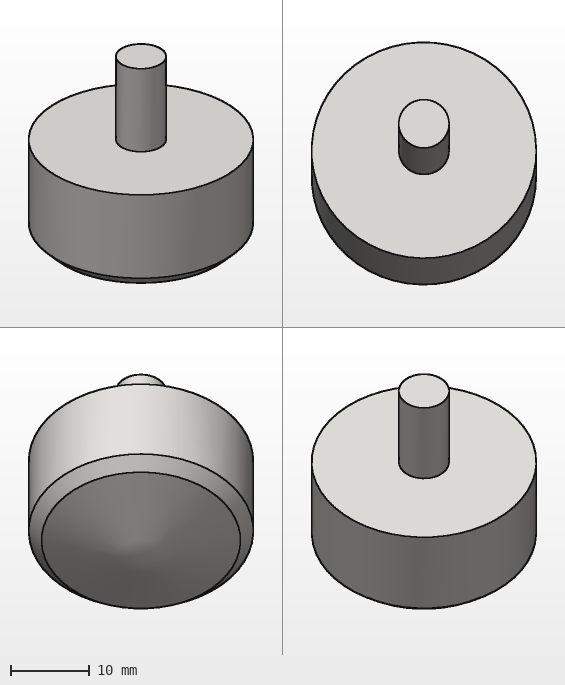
import cadquery as cq

total_height = 29.7
body_diameter = 28.5
pin_diameter = 6.4
pin_length = 12.12
chamfer_size = 1.63
tip_height = 3.77

body_radius = body_diameter / 2
pin_radius = pin_diameter / 2
cone_radius = body_radius - chamfer_size

body_bottom = tip_height + chamfer_size
body_top = total_height - pin_length

half_section = (
    cq.Workplane("XZ")
    .moveTo(0, 0)
    .lineTo(cone_radius, tip_height)
    .lineTo(body_radius, body_bottom)
    .lineTo(body_radius, body_top)
    .lineTo(pin_radius, body_top)
    .lineTo(pin_radius, total_height)
    .lineTo(0, total_height)
    .close()
)

result = half_section.revolve(360, (0, 0, 0), (0, 1, 0))